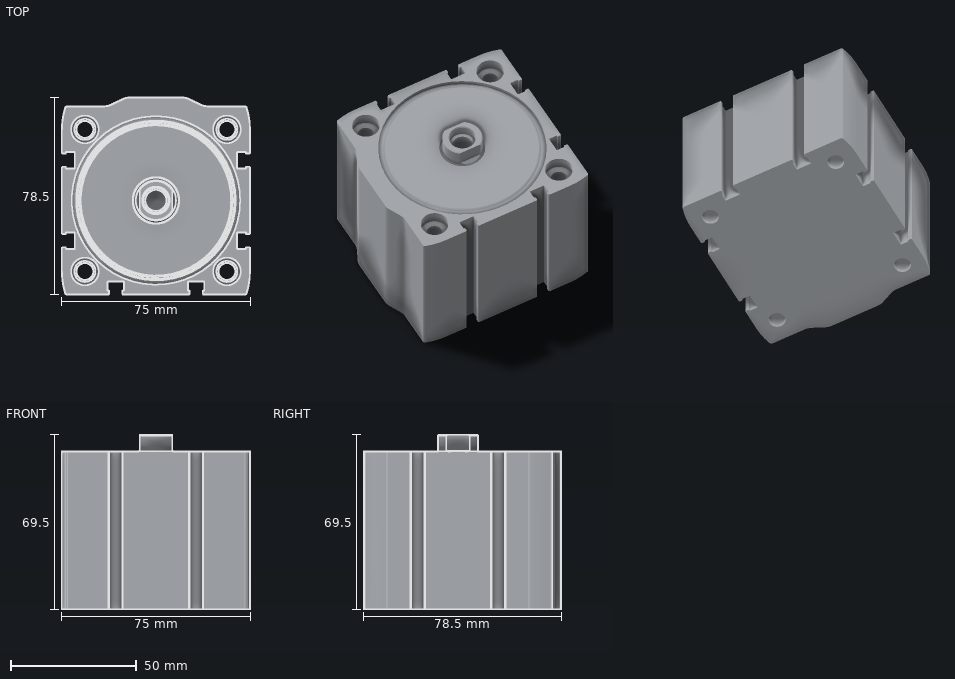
import cadquery as cq
import math

width = 75.0
half_width = width / 2
height = 62.8

hump_height = 3.5
hump_crest_half_width = 11.8
hump_foot_half_width = 19.2
hump_blend_radius = 6.3

corner_arc_radius = 28.25
corner_arc_start = 28.25
corner_fillet = 0.95

slot_offset = 16.0
slot_mouth_width = 5.2
slot_inner_width = 6.4
slot_depth = 5.2
slot_lip = 1.65
slot_mouth_chamfer = 0.3
slot_fillet = 0.2

mount_offset = 28.25
mount_bore_diameter = 11.0
mount_bore_depth = 5.2
mount_countersink_diameter = 8.4
mount_hole_diameter = 6.7

cone_slope = math.tan(math.radians(30))

rim_radius = 67.0 / 2
rim_depth = 1.9
shelf_outer_radius = 31.8
shelf_inner_radius = 31.25
shelf_depth = 0.9
cap_bevel_radius = 30.5
cap_bevel_depth = 0.2
cap_face_radius = 29.9

rod_radius = 16.0 / 2
rod_length = 39.25
rod_projection = 6.7
rod_top = height + rod_projection
rod_chamfer = 0.3
flat_half_width = 6.5
flat_foot_rise = 0.3
flat_overcut = 0.8
flat_foot_slope = math.tan(math.radians(30))
thread_entry_radius = 11.0 / 2
thread_entry_depth = 0.5
thread_clearance_radius = 10.5 / 2
thread_clearance_depth = 4.5
thread_sink_radius = 10.0 / 2
thread_core_radius = 8.4 / 2
thread_core_depth = 18.85

wiper_radius = 18.1 / 2
wiper_mouth_chamfer = 0.2
wiper_outer_depth = 1.6
wiper_inner_depth = 0.5


def fillet_upright_pair(block, x, y, radius):
    """Fillets the two upright edges at (-x, y) and (x, y)."""
    reach = 0.1
    left, right = [
        cq.selectors.BoxSelector(
            (edge_x - reach, y - reach, 0),
            (edge_x + reach, y + reach, height),
        )
        for edge_x in (-x, x)
    ]
    return block.edges("|Z").edges(left + right).fillet(radius)


def housing_block():
    """Extruded outline with its hump and rounded corners."""
    corner_rise = half_width - corner_arc_start
    arc_centre_x = half_width - corner_arc_radius
    corner_x = arc_centre_x + math.sqrt(corner_arc_radius**2 - corner_rise**2)
    mid_angle = math.asin(corner_rise / corner_arc_radius) / 2
    mid_x = arc_centre_x + corner_arc_radius * math.cos(mid_angle)
    mid_y = corner_arc_start + corner_arc_radius * math.sin(mid_angle)

    crest_y = half_width + hump_height
    block = (
        cq.Workplane("XY")
        .moveTo(-corner_x, -half_width)
        .lineTo(corner_x, -half_width)
        .threePointArc((mid_x, -mid_y), (half_width, -corner_arc_start))
        .lineTo(half_width, corner_arc_start)
        .threePointArc((mid_x, mid_y), (corner_x, half_width))
        .lineTo(hump_foot_half_width, half_width)
        .lineTo(hump_crest_half_width, crest_y)
        .lineTo(-hump_crest_half_width, crest_y)
        .lineTo(-hump_foot_half_width, half_width)
        .lineTo(-corner_x, half_width)
        .threePointArc((-mid_x, mid_y), (-half_width, corner_arc_start))
        .lineTo(-half_width, -corner_arc_start)
        .threePointArc((-mid_x, -mid_y), (-corner_x, -half_width))
        .close()
        .extrude(height)
    )

    for y in (-half_width, half_width):
        block = fillet_upright_pair(block, corner_x, y, corner_fillet)
    block = fillet_upright_pair(block, hump_foot_half_width, half_width, hump_blend_radius)
    return fillet_upright_pair(block, hump_crest_half_width, crest_y, hump_blend_radius)


def t_slot(offset, side_angle):
    """Full-height T-slot cutter for the -Y side, turned about Z to its own side."""
    flare_half = slot_mouth_width / 2 + slot_mouth_chamfer
    mouth_half = slot_mouth_width / 2
    inner_half = slot_inner_width / 2
    right_side = [
        (flare_half, 0),
        (mouth_half, slot_mouth_chamfer),
        (mouth_half, slot_lip),
        (inner_half, slot_lip),
        (inner_half, slot_depth),
    ]
    left_side = [(-x, y) for x, y in reversed(right_side)]
    cutter = cq.Workplane("XY").polyline(right_side + left_side).close().extrude(height)
    inner_corners = cq.selectors.BoxSelector(
        (-slot_inner_width, slot_lip - slot_fillet, 0),
        (slot_inner_width, slot_depth + slot_fillet, height),
    )
    cutter = cutter.edges("|Z").edges(inner_corners).fillet(slot_fillet)
    return cutter.translate((offset, -half_width, 0)).rotate((0, 0, 0), (0, 0, 1), side_angle)


def turned(profile):
    """Solid of revolution about Z from (radius, z) points."""
    return cq.Workplane("XZ").polyline(profile).close().revolve(360, (0, 0, 0), (0, 1, 0))


def mount_hole():
    """Counterbored and countersunk through hole on the Z axis."""
    bore_radius = mount_bore_diameter / 2
    sink_radius = mount_countersink_diameter / 2
    hole_radius = mount_hole_diameter / 2
    bore_floor = height - mount_bore_depth
    sink_floor = bore_floor - (sink_radius - hole_radius) * cone_slope
    return turned([
        (0, 0),
        (hole_radius, 0),
        (hole_radius, sink_floor),
        (sink_radius, bore_floor),
        (bore_radius, bore_floor),
        (bore_radius, height),
        (0, height),
    ])


def cap_rim():
    """Stepped groove between the housing bore and the end cap face."""
    return turned([
        (cap_face_radius, height),
        (cap_bevel_radius, height - cap_bevel_depth),
        (shelf_inner_radius, height - shelf_depth),
        (shelf_outer_radius, height - shelf_depth),
        (rim_radius, height - rim_depth),
        (rim_radius, height),
    ])


def wiper_recess():
    """Sloping recess where the rod leaves the end cap."""
    return turned([
        (0, height - wiper_inner_depth),
        (rod_radius, height - wiper_inner_depth),
        (wiper_radius, height - wiper_outer_depth),
        (wiper_radius, height - wiper_mouth_chamfer),
        (wiper_radius + wiper_mouth_chamfer, height),
        (0, height),
    ])


def rod_cylinder():
    """Plain rod body, which is also the shape of its blind bore in the housing."""
    return (
        cq.Workplane("XY", origin=(0, 0, rod_top - rod_length))
        .circle(rod_radius)
        .extrude(rod_length)
    )


def make_housing():
    housing = housing_block()
    for side_angle in (-90, 0, 90):
        for offset in (-slot_offset, slot_offset):
            housing = housing.cut(t_slot(offset, side_angle))
    for x in (-mount_offset, mount_offset):
        for y in (-mount_offset, mount_offset):
            housing = housing.cut(mount_hole().translate((x, y, 0)))
    return housing.cut(cap_rim()).cut(wiper_recess()).cut(rod_cylinder())


def flat_cutter():
    """Removes the +X side of the rod end down to a sloping foot."""
    foot_z = height + flat_foot_rise
    outer_x = rod_radius + flat_overcut
    foot_drop = (outer_x - flat_half_width) * flat_foot_slope
    return (
        cq.Workplane("XZ")
        .polyline([
            (flat_half_width, foot_z),
            (outer_x, foot_z - foot_drop),
            (outer_x, rod_top),
            (flat_half_width, rod_top),
        ])
        .close()
        .extrude(rod_radius, both=True)
    )


def threaded_hole():
    """Blind hole in the rod end: entry chamfer, clearance bore, countersink, core hole, drill point."""
    clearance_floor = rod_top - thread_clearance_depth
    core_top = clearance_floor - (thread_sink_radius - thread_core_radius) * cone_slope
    core_floor = rod_top - thread_core_depth
    return turned([
        (0, core_floor - thread_core_radius * cone_slope),
        (thread_core_radius, core_floor),
        (thread_core_radius, core_top),
        (thread_sink_radius, clearance_floor),
        (thread_clearance_radius, clearance_floor),
        (thread_clearance_radius, rod_top - thread_entry_depth),
        (thread_entry_radius, rod_top),
        (0, rod_top),
    ])


def make_rod():
    rod = rod_cylinder().faces(">Z").chamfer(rod_chamfer)
    for side_angle in (0, 180):
        rod = rod.cut(flat_cutter().rotate((0, 0, 0), (0, 0, 1), side_angle))
    return rod.cut(threaded_hole())


housing = make_housing()
rod = make_rod()
result = cq.Compound.makeCompound([housing.val(), rod.val()])